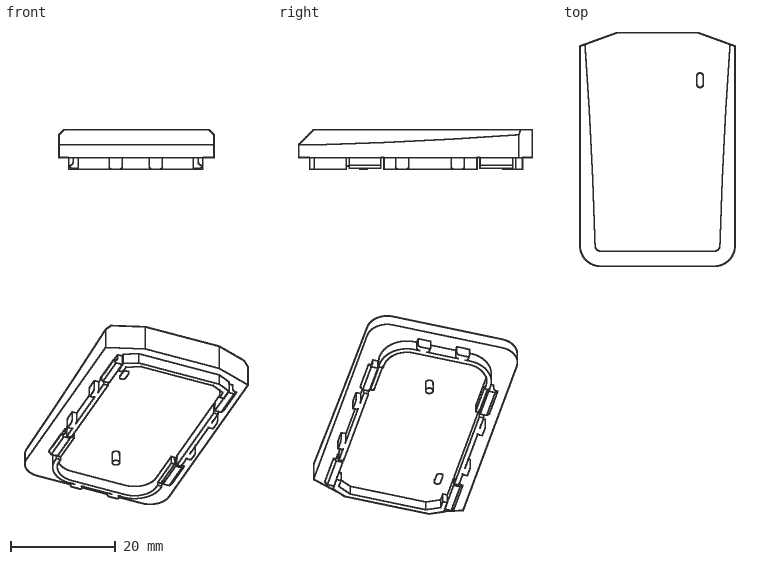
import cadquery as cq

WIDTH = 29.7
LENGTH = 44.75
PLATE_HEIGHT = 5.35
HALF_WIDTH = WIDTH / 2
FRONT_Y = -LENGTH / 2
BACK_Y = LENGTH / 2
BACK_EDGE_HALF = 7.7
BACK_CORNER_DROP = 2.6
CORNER_RADIUS = 4.0
CORNER_Y = FRONT_Y + CORNER_RADIUS

FRONT_BEVEL = 2.9
MIDDLE_BEVEL = 2.1
BACK_BEVEL = 0.8

SLOT_X = 8.15
SLOT_Y = 13.25
SLOT_PITCH = 1.5
SLOT_WIDTH = 1.2
SLOT_ROUNDING = 0.7

UNDERSIDE_SHIFT_X = -0.15

WALL_DEPTH = 2.25
WALL_THICKNESS = 0.9
RING_HALF_WIDTH = 11.0
RING_FRONT_Y = -19.35
RING_BACK_Y = 20.5
RING_CORNER_RADIUS = 5.45
RING_BACK_EDGE_HALF = 8.4
RING_BACK_CORNER_DROP = 1.3
BACK_WALL_END_Y = 16.75
FRONT_WALL_END_Y = -13.25
SIDE_WALL_Y = (-6.05, 11.75)
SIDE_WALL_X = RING_HALF_WIDTH + WALL_THICKNESS

RIB_WIDTH = 2.5
RIB_PROJECTION = 0.95
RIB_ROUNDING = 0.55
FRONT_RIB_X = 3.85
SIDE_RIB_Y = (-2.55, 8.1)

HOOK_SPANS_Y = ((-12.7, -6.62), (12.3, 18.6))
HOOK_STEM_X = 12.0
HOOK_TIP_X = 12.85
HOOK_FOOT_X = 12.3
HOOK_BEND_Z = -0.85
HOOK_TIP_Z = -1.48
HOOK_FOOT_Z = -2.05

WEB_DEPTH = 1.6
WEB_INSET = 0.22
PEG_DIAMETER = 1.45
PEG_Y = -9.95


def both_sides(shape):
    """Join a shape with its mirror image across the YZ plane."""
    return shape.union(shape.mirror("YZ"))


def box_between(x_range, y_range, z_range):
    """Box spanning the given ranges."""
    ranges = (x_range, y_range, z_range)
    sizes = [high - low for low, high in ranges]
    corner = tuple(low for low, high in ranges)
    return cq.Workplane("XY").box(*sizes, centered=False).translate(corner)


def cover_outline(half_width, front_y, back_y, back_half, back_drop, radius):
    """Closed outline with rounded front corners and slanted back corners."""
    outline = (
        cq.Workplane("XY")
        .moveTo(-half_width + radius, front_y)
        .lineTo(half_width - radius, front_y)
        .radiusArc((half_width, front_y + radius), -radius)
        .lineTo(half_width, back_y - back_drop)
        .lineTo(back_half, back_y)
        .lineTo(-back_half, back_y)
        .lineTo(-half_width, back_y - back_drop)
        .lineTo(-half_width, front_y + radius)
        .radiusArc((-half_width + radius, front_y), -radius)
        .close()
    )
    return outline


def front_bevel():
    """Triangle swept round both front corners and along the front edge."""
    path = (
        cq.Workplane("XY", origin=(0, 0, PLATE_HEIGHT))
        .moveTo(-HALF_WIDTH, CORNER_Y)
        .radiusArc((-HALF_WIDTH + CORNER_RADIUS, FRONT_Y), -CORNER_RADIUS)
        .lineTo(HALF_WIDTH - CORNER_RADIUS, FRONT_Y)
        .radiusArc((HALF_WIDTH, CORNER_Y), -CORNER_RADIUS)
    )
    triangle = (
        cq.Workplane("XZ", origin=(-HALF_WIDTH, CORNER_Y, PLATE_HEIGHT))
        .polyline([(0, 0), (FRONT_BEVEL, 0), (0, -FRONT_BEVEL)])
        .close()
    )
    return triangle.sweep(path, transition="right")


def side_bevel():
    """Curved strip of the top face pushed outward and down at 45 degrees."""
    middle_y = (CORNER_Y + BACK_Y) / 2
    strip = (
        cq.Workplane("XY", origin=(0, 0, PLATE_HEIGHT))
        .moveTo(HALF_WIDTH - FRONT_BEVEL, CORNER_Y)
        .threePointArc((HALF_WIDTH - MIDDLE_BEVEL, middle_y), (HALF_WIDTH - BACK_BEVEL, BACK_Y))
        .lineTo(HALF_WIDTH + FRONT_BEVEL, BACK_Y)
        .lineTo(HALF_WIDTH + FRONT_BEVEL, CORNER_Y)
        .close()
    )
    slant = cq.Vector(FRONT_BEVEL, 0, -FRONT_BEVEL)
    return cq.Workplane(cq.Solid.extrudeLinear(strip.wires().val(), [], slant))


def slot_cutter():
    """Straight slot running through the plate."""
    return (
        cq.Workplane("XY")
        .center(SLOT_X, SLOT_Y)
        .slot2D(SLOT_PITCH + SLOT_WIDTH, SLOT_WIDTH, 90)
        .extrude(PLATE_HEIGHT)
    )


def plate():
    """Bevelled cover plate with its slot."""
    body = cover_outline(
        HALF_WIDTH, FRONT_Y, BACK_Y, BACK_EDGE_HALF, BACK_CORNER_DROP, CORNER_RADIUS
    ).extrude(PLATE_HEIGHT)
    bevelled = body.cut(front_bevel()).cut(both_sides(side_bevel()))
    slot_mouth = cq.selectors.BoxSelector(
        (SLOT_X - SLOT_WIDTH, SLOT_Y - SLOT_PITCH, PLATE_HEIGHT - SLOT_ROUNDING),
        (SLOT_X + SLOT_WIDTH, SLOT_Y + SLOT_PITCH, PLATE_HEIGHT + SLOT_ROUNDING),
    )
    return bevelled.cut(slot_cutter()).edges(slot_mouth).fillet(SLOT_ROUNDING)


def ring_block(inset, depth):
    """Solid block below the plate with the ring outline set inward."""
    outline = cover_outline(
        RING_HALF_WIDTH - inset,
        RING_FRONT_Y + inset,
        RING_BACK_Y - inset,
        RING_BACK_EDGE_HALF - inset,
        RING_BACK_CORNER_DROP,
        RING_CORNER_RADIUS - inset,
    )
    return outline.extrude(-depth)


def ring_part(y_range, depth, inset=0.0):
    """Part of the wall ring within a Y range, its outer face set inward by the inset."""
    ring = ring_block(inset, depth).cut(ring_block(WALL_THICKNESS, depth))
    window = box_between((-RING_HALF_WIDTH, RING_HALF_WIDTH), y_range, (-depth, 0))
    return ring.intersect(window)


def side_wall():
    """Right side wall with its outer ribs."""
    wall = box_between((RING_HALF_WIDTH, SIDE_WALL_X), SIDE_WALL_Y, (-WALL_DEPTH, 0))
    for rib_y in SIDE_RIB_Y:
        rib = box_between(
            (SIDE_WALL_X, SIDE_WALL_X + RIB_PROJECTION),
            (rib_y - RIB_WIDTH / 2, rib_y + RIB_WIDTH / 2),
            (-WALL_DEPTH, 0),
        )
        wall = wall.union(rib.edges("|X and <Z").fillet(RIB_ROUNDING))
    return wall


def front_rib():
    """Right rib on the front wall."""
    rib = box_between(
        (FRONT_RIB_X - RIB_WIDTH / 2, FRONT_RIB_X + RIB_WIDTH / 2),
        (RING_FRONT_Y - RIB_PROJECTION, RING_FRONT_Y),
        (-WALL_DEPTH, 0),
    )
    return rib.edges("|Y and <Z").fillet(RIB_ROUNDING)


def hook(y_range):
    """Right snap hook with an outward tip."""
    start_y, end_y = y_range
    profile = (
        cq.Workplane("XZ", origin=(0, start_y, 0))
        .moveTo(RING_HALF_WIDTH, 0)
        .lineTo(HOOK_STEM_X, 0)
        .lineTo(HOOK_STEM_X, HOOK_BEND_Z)
        .tangentArcPoint((HOOK_TIP_X, HOOK_TIP_Z), relative=False)
        .lineTo(HOOK_FOOT_X, HOOK_FOOT_Z)
        .lineTo(RING_HALF_WIDTH, HOOK_FOOT_Z)
        .close()
    )
    return profile.extrude(start_y - end_y)


def peg():
    """Round peg on the centre line."""
    return cq.Workplane("XY").center(0, PEG_Y).circle(PEG_DIAMETER / 2).extrude(-WALL_DEPTH)


def underside():
    """Walls, ribs, hooks and peg below the plate, centred on the YZ plane."""
    front_hook_back_y = HOOK_SPANS_Y[0][1]
    parts = (
        ring_part((BACK_WALL_END_Y, RING_BACK_Y), WALL_DEPTH)
        .union(ring_part((RING_FRONT_Y, FRONT_WALL_END_Y), WALL_DEPTH))
        .union(ring_part((FRONT_WALL_END_Y, front_hook_back_y), WEB_DEPTH, WEB_INSET))
        .union(both_sides(side_wall()))
        .union(both_sides(front_rib()))
        .union(peg())
    )
    for span in HOOK_SPANS_Y:
        parts = parts.union(both_sides(hook(span)))
    return parts


result = plate().union(underside().translate((UNDERSIDE_SHIFT_X, 0, 0)))